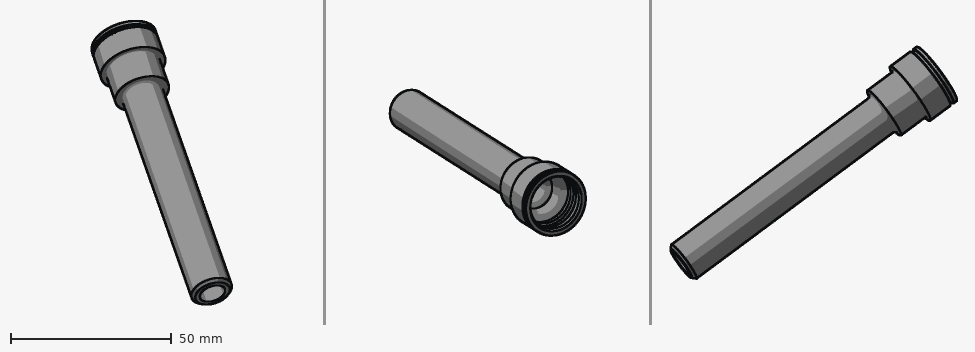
import cadquery as cq
import math

overall_length = 100.0

head_diameter = 21.0
groove_diameter = 20.0
groove_start = 1.3
groove_width = 1.2
head_length = 10.4
collar_diameter = 17.5
collar_end = 20.6
shank_diameter = 13.2
head_fillet = 0.5
shank_fillet = 1.5
tip_chamfer = 1.0
selection_margin = 0.1

mouth_diameter = 18.1
mouth_depth = 0.9
socket_diameter = 17.0
socket_depth = 8.1
recess_diameter = 18.0
recess_start = 2.9
recess_end = 6.4
recess_flank = 0.9
cone_half_angle = math.radians(60)
throat_diameter = 12.0
throat_lip_radius = 1.2
throat_end = 14.0
bore_diameter = 8.2
bore_lip_radius = 0.5



def rod(diameter, start, end):
    """Cylinder about the X axis between two stations."""
    return cq.Workplane("YZ", origin=(start, 0, 0)).circle(diameter / 2).extrude(end - start)


def outer_body():
    """Stepped head, collar and shank with concave root fillets and a beveled tip."""
    body = rod(shank_diameter, 0, overall_length).faces(">X").chamfer(tip_chamfer)
    body = body.union(rod(collar_diameter, 0, collar_end))
    body = body.union(rod(head_diameter, 0, head_length))
    root_edge = cq.selectors.RadiusNthSelector(0)
    for station, radius in ((head_length, head_fillet), (collar_end, shank_fillet)):
        step_face = body.faces(cq.selectors.BoxSelector(
            (station - selection_margin, -head_diameter, -head_diameter),
            (station + selection_margin, head_diameter, head_diameter),
        ))
        body = step_face.edges(root_edge).fillet(radius)
    groove_end = groove_start + groove_width
    ring = rod(head_diameter, groove_start, groove_end).cut(rod(groove_diameter, groove_start, groove_end))
    return body.cut(ring)


def add_cone_to_bore(profile, start, start_diameter, end_diameter, lip_radius):
    """Taper a cavity profile down to a smaller bore, rounding the lip between cone and bore."""
    end_radius = end_diameter / 2
    lip_start_radius = end_radius + lip_radius * (1 - math.cos(cone_half_angle))
    lip_start = start + (start_diameter / 2 - lip_start_radius) / math.tan(cone_half_angle)
    lip_end = lip_start + lip_radius * math.sin(cone_half_angle)
    half_turn = cone_half_angle / 2
    lip_middle = (
        lip_end - lip_radius * math.sin(half_turn),
        end_radius + lip_radius * (1 - math.cos(half_turn)),
    )
    return (
        profile
        .lineTo(lip_start, lip_start_radius)
        .threePointArc(lip_middle, (lip_end, end_radius))
    )


def inner_cavity():
    """Beveled, recessed socket tapering through a throat into the through bore."""
    mouth_radius = mouth_diameter / 2
    socket_radius = socket_diameter / 2
    recess_radius = recess_diameter / 2
    profile = (
        cq.Workplane("XY")
        .lineTo(0, mouth_radius)
        .lineTo(mouth_depth, socket_radius)
        .lineTo(recess_start, socket_radius)
        .lineTo(recess_start + recess_flank, recess_radius)
        .lineTo(recess_end - recess_flank, recess_radius)
        .lineTo(recess_end, socket_radius)
        .lineTo(socket_depth, socket_radius)
    )
    profile = add_cone_to_bore(profile, socket_depth, socket_diameter, throat_diameter, throat_lip_radius)
    profile = profile.lineTo(throat_end, throat_diameter / 2)
    profile = add_cone_to_bore(profile, throat_end, throat_diameter, bore_diameter, bore_lip_radius)
    profile = profile.lineTo(overall_length, bore_diameter / 2).lineTo(overall_length, 0).close()
    return profile.revolve(360, (0, 0, 0), (1, 0, 0))


result = outer_body().cut(inner_cavity())